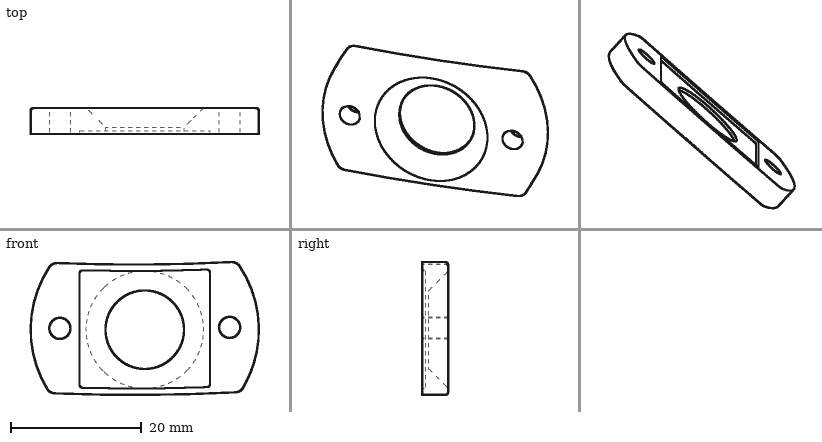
import cadquery as cq
import math

THICKNESS = 4.0
HALF_HEIGHT = 10.0
END_RADIUS = 17.5
BEND_RADIUS = 300.0
BEND_CENTER_X = -1.7
CORNER_RADIUS = 1.5
BACK_EDGE_RADIUS = 0.5

OPENING_DIAMETER = 12.0
OPENING_LIP = 0.5
FLARE_ANGLE = 45.0
SCREW_DIAMETER = 3.2
SCREW_SPACING = 26.0

POCKET_WIDTH = 20.0
POCKET_HALF_HEIGHT = 9.0
POCKET_DEPTH = 0.5
POCKET_CORNER_RADIUS = 0.5


BEND_CENTER_Z = math.sqrt(BEND_RADIUS**2 - BEND_CENTER_X**2)


def bend_point(x, offset):
    """Point at x on the arc that runs parallel to the centreline, offset upwards."""
    radius = BEND_RADIUS - offset
    return (x, BEND_CENTER_Z - math.sqrt(radius**2 - (x - BEND_CENTER_X) ** 2))


def end_corner(side, offset):
    """Point where the rounded end (side -1 left, 1 right) meets the parallel arc at offset."""
    radius = BEND_RADIUS - offset
    along = (END_RADIUS**2 + BEND_RADIUS**2 - radius**2) / (2 * BEND_RADIUS)
    across = side * math.sqrt(END_RADIUS**2 - along**2)
    up_x = BEND_CENTER_X / BEND_RADIUS
    up_z = BEND_CENTER_Z / BEND_RADIUS
    return (along * up_x + across * up_z, along * up_z - across * up_x)


def front_plane():
    """Sketch plane on the front face, extruding towards the back (+Y)."""
    return cq.Workplane(cq.Plane(origin=(0, 0, 0), xDir=(1, 0, 0), normal=(0, -1, 0)))


def make_plate():
    """Slab with rounded ends, rounded corners and a rounded back edge."""
    top_left = end_corner(-1, HALF_HEIGHT)
    top_right = end_corner(1, HALF_HEIGHT)
    bottom_left = end_corner(-1, -HALF_HEIGHT)
    bottom_right = end_corner(1, -HALF_HEIGHT)
    plate = (
        front_plane()
        .moveTo(*top_left)
        .threePointArc(bend_point(0, HALF_HEIGHT), top_right)
        .threePointArc((END_RADIUS, 0), bottom_right)
        .threePointArc(bend_point(0, -HALF_HEIGHT), bottom_left)
        .threePointArc((-END_RADIUS, 0), top_left)
        .close()
        .extrude(-THICKNESS)
    )
    plate = plate.edges("|Y").fillet(CORNER_RADIUS)
    return plate.faces(">Y").edges().fillet(BACK_EDGE_RADIUS)


def make_pocket():
    """Shallow recess in the front face, with upright sides and curved top and bottom."""
    x = POCKET_WIDTH / 2
    top = POCKET_HALF_HEIGHT
    bottom = -POCKET_HALF_HEIGHT
    pocket = (
        front_plane()
        .moveTo(*bend_point(-x, top))
        .threePointArc(bend_point(0, top), bend_point(x, top))
        .lineTo(*bend_point(x, bottom))
        .threePointArc(bend_point(0, bottom), bend_point(-x, bottom))
        .close()
        .extrude(-POCKET_DEPTH)
    )
    return pocket.edges("|Y").fillet(POCKET_CORNER_RADIUS)


def make_opening():
    """Round opening with a straight lip at the front and a conical flare to the back."""
    radius = OPENING_DIAMETER / 2
    flare_start = POCKET_DEPTH + OPENING_LIP
    back_radius = radius + (THICKNESS - flare_start) * math.tan(math.radians(FLARE_ANGLE))
    return (
        cq.Workplane("XY")
        .lineTo(radius, 0)
        .lineTo(radius, flare_start)
        .lineTo(back_radius, THICKNESS)
        .lineTo(0, THICKNESS)
        .close()
        .revolve(360, (0, 0, 0), (0, 1, 0))
    )


def make_screw_holes():
    """Pair of through holes on the centreline, either side of the opening."""
    x = SCREW_SPACING / 2
    centers = [bend_point(-x, 0), bend_point(x, 0)]
    return front_plane().pushPoints(centers).circle(SCREW_DIAMETER / 2).extrude(-THICKNESS)


result = make_plate().cut(make_pocket()).cut(make_opening()).cut(make_screw_holes())